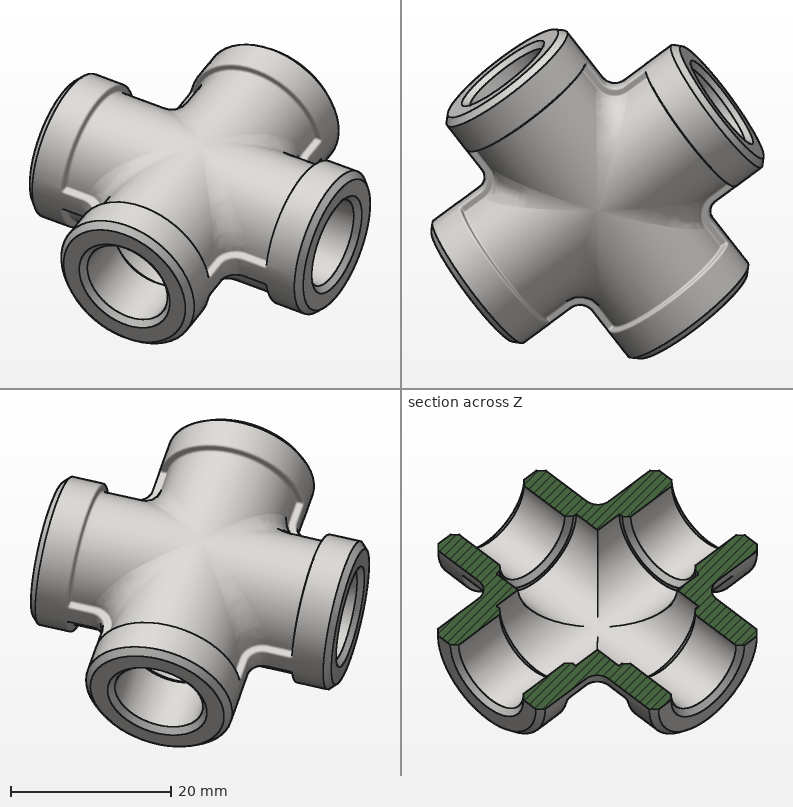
import cadquery as cq

overall_length = 39.0
collar_diameter = 19.0
arm_diameter = 17.0
rib_corner_radius = 2.0
collar_length = 5.0
collar_chamfer = 0.8
rib_thickness = 3.0
edge_radius = 0.292
bore_diameter = 11.43
bore_chamfer = 0.75
cavity_diameter = 14.0
bore_depth = 8.7

half_length = overall_length / 2
collar_radius = collar_diameter / 2
arm_radius = arm_diameter / 2
arm_blend_radius = rib_corner_radius + collar_radius - arm_radius
shoulder_distance = half_length - collar_length


def crossed_cylinders(radius):
    """Two equal cylinders along X and Y, crossing at the origin."""
    along_x = cq.Workplane("YZ").circle(radius).extrude(half_length, both=True)
    along_y = cq.Workplane("XZ").circle(radius).extrude(half_length, both=True)
    return along_x.union(along_y)


def blended_cross(radius, blend_radius):
    """Crossed cylinders with the seams between the arms rounded."""
    cross = crossed_cylinders(radius)
    return cross.edges("%ELLIPSE").fillet(blend_radius)


def relieved_block():
    """Outer envelope with the arms relieved between the collars, above and below the ribs."""
    envelope = blended_cross(collar_radius, rib_corner_radius)
    envelope = envelope.edges("%CIRCLE").chamfer(collar_chamfer)
    arms = blended_cross(arm_radius, arm_blend_radius)
    relief_span = 2 * shoulder_distance
    relief = cq.Workplane("XY").box(relief_span, relief_span, overall_length)
    rib_slab = cq.Workplane("XY").box(overall_length, overall_length, rib_thickness)
    return envelope.cut(relief.cut(rib_slab).cut(arms))


def round_relief_edges(block):
    """Round the shoulder and rib edges that surround the relieved areas."""
    half_rib = rib_thickness / 2
    tolerance = 0.005
    rounded = []
    for edge in block.edges().vals():
        center = edge.Center()
        is_level = edge.BoundingBox().zlen < tolerance
        on_rib = is_level and abs(abs(center.z) - half_rib) < tolerance
        reach = max(abs(center.x), abs(center.y))
        is_circular = edge.geomType() == "CIRCLE"
        on_shoulder = is_circular and abs(reach - shoulder_distance) < tolerance
        if on_rib or on_shoulder:
            rounded.append(edge)
    return block.newObject(rounded).fillet(edge_radius)


def bore_tool():
    """Bore along X: a narrow bore at each end, chamfered at both rims, and a wider middle cavity."""
    bore_radius = bore_diameter / 2
    rim_radius = bore_radius + bore_chamfer
    cavity_radius = cavity_diameter / 2
    cavity_end = half_length - bore_depth
    half_bore = (
        cq.Workplane("XY")
        .moveTo(0, 0)
        .lineTo(half_length, 0)
        .lineTo(half_length, rim_radius)
        .lineTo(half_length - bore_chamfer, bore_radius)
        .lineTo(cavity_end + bore_chamfer, bore_radius)
        .lineTo(cavity_end, rim_radius)
        .lineTo(cavity_end, cavity_radius)
        .lineTo(0, cavity_radius)
        .close()
        .revolve(360, (0, 0, 0), (1, 0, 0))
    )
    return half_bore.union(half_bore.mirror("YZ"))


bore_along_x = bore_tool()
bore_along_y = bore_along_x.rotate((0, 0, 0), (0, 0, 1), 90)
result = round_relief_edges(relieved_block()).cut(bore_along_x).cut(bore_along_y)